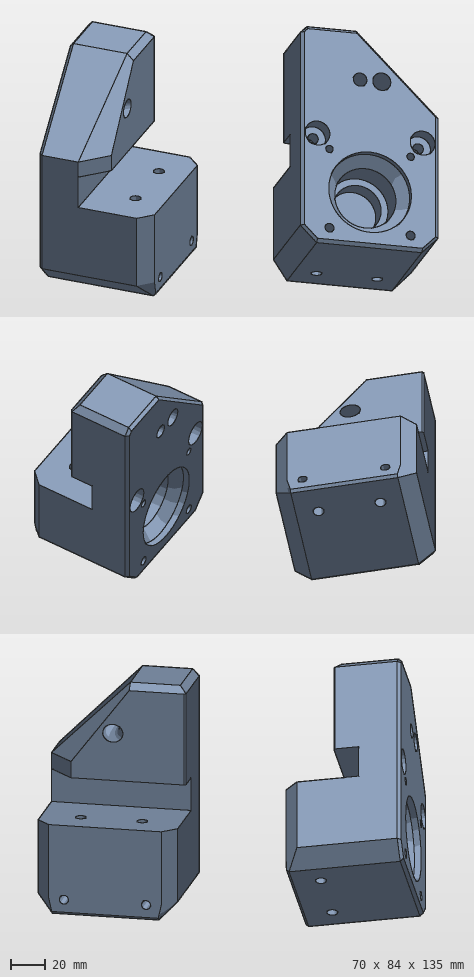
import cadquery as cq
import math

depth = 70.0
width = 84.0
height = 135.0
mid_y = width / 2

head_depth = 40.0
wall_depth = 25.0
shelf_z = 55.0
head_floor_z = 75.0

bottom_cut = 10.0
slope_cut = 50.0
top_cut = 4.0

front_bevel = 2.0
head_side_bevel = 15.0
head_top_bevel = 4.0
head_far_bevel = 1.0
base_side_bevel = 8.1
base_bottom_bevel = 1.6
cutter_overrun = 0.2

bore_z = 34.0
mouth_diameter = 50.4
mouth_depth = 4.0
bore_diameter = 37.3
bore_depth = 28.5
bore_end_diameter = 29.0
bore_end_depth = 40.5
cone_end_depth = mouth_depth + (mouth_diameter - bore_diameter) / 2

pattern_half = 24.7
through_diameter = 5.4
blind_diameter = 4.5
blind_depth = 14.8

screw_inset = 10.0
screw_z = 68.0
counterbore_diameter = 15.0
counterbore_depth = 10.0
screw_diameter = 6.3
screw_depth = 20.2

head_hole_z = 104.1
pin_y = 48.0
pin_diameter = 8.2
pin_depth = 20.2
curved_y = 34.8
curved_diameter = 11.0
curved_shift = 5.3
straight_run = 16.2
bend_overrun = 1.3

shelf_hole_x = 51.8
shelf_hole_half_spacing = 18.5
shelf_hole_diameter = 6.3


def cylinder_x(diameter, length, y, z):
    """Cylinder along +X whose first end is centred at (0, y, z)."""
    return cq.Workplane(
        cq.Solid.makeCylinder(diameter / 2, length, cq.Vector(0, y, z), cq.Vector(1, 0, 0))
    )


def ruled_wedge(first, second):
    """Solid between two triangles, joined point to point by straight rulings."""
    faces = [cq.Face.makeFromWires(cq.Wire.makePolygon(points, close=True)) for points in (first, second)]
    for i in range(3):
        first_edge = cq.Edge.makeLine(first[i - 1], first[i])
        second_edge = cq.Edge.makeLine(second[i - 1], second[i])
        faces.append(cq.Face.makeRuledSurface(first_edge, second_edge))
    return cq.Workplane(cq.Solid.makeSolid(cq.Shell.makeShell(faces)).fix())


def bevel(body, face_x, inward, stations):
    """Bevel the rim of the face at face_x; inward is the X direction into the body.

    Each station is (rim corner, point left on the face, bevel depth along X).
    Between two stations the bevel is a ruled surface, so its size can change.
    Every cutter section is stretched past the rim so that it clears the body.
    """
    sections = []
    for corner, face_point, bevel_depth in stations:
        on_face = cq.Vector(face_x, *face_point)
        on_side = cq.Vector(face_x + inward * bevel_depth, *corner)
        overrun = (on_face - on_side) * cutter_overrun
        face_end = on_face + overrun
        side_end = on_side - overrun
        outer = cq.Vector(face_end.x, side_end.y, side_end.z)
        sections.append([outer, face_end, side_end])
    for first, second in zip(sections, sections[1:]):
        body = body.cut(ruled_wedge(first, second))
    return body


outline = [
    (bottom_cut, 0),
    (width - bottom_cut, 0),
    (width, bottom_cut),
    (width, height - top_cut),
    (width - top_cut, height),
    (slope_cut, height),
    (0, height - slope_cut),
    (0, bottom_cut),
]
body = cq.Workplane("YZ").polyline(outline).close().extrude(depth)

behind_head = cq.Workplane().box(depth, width, height, centered=False).translate((head_depth, 0, shelf_z))
slot = cq.Workplane().box(depth, width, head_floor_z - shelf_z, centered=False)
body = body.cut(behind_head).cut(slot.translate((wall_depth, 0, shelf_z)))

front_face = [
    (bottom_cut, front_bevel),
    (width - bottom_cut, front_bevel),
    (width - front_bevel, bottom_cut),
    (width - front_bevel, height - top_cut),
    (width - top_cut, height - front_bevel),
    (slope_cut, height - front_bevel),
    (front_bevel, height - slope_cut),
    (front_bevel, bottom_cut),
]
front_stations = [(rim, inner, front_bevel) for rim, inner in zip(outline, front_face)]
body = bevel(body, 0, 1, front_stations + front_stations[:1])

head_top = height - head_top_bevel
slope_foot = height - slope_cut
head_stations = [
    ((0, head_floor_z), (head_side_bevel, head_floor_z), head_side_bevel),
    ((0, slope_foot), (head_side_bevel, slope_foot), head_side_bevel),
    ((slope_cut, height), (slope_cut, head_top), head_top_bevel),
    ((width - top_cut, height), (width - top_cut, head_top), head_top_bevel),
    ((width, height - top_cut), (width - head_far_bevel, height - top_cut), head_far_bevel),
    ((width, head_floor_z), (width - head_far_bevel, head_floor_z), head_far_bevel),
]
body = bevel(body, head_depth, -1, head_stations)

base_stations = [
    ((0, shelf_z), (base_side_bevel, shelf_z), base_side_bevel),
    ((0, bottom_cut), (base_side_bevel, bottom_cut), base_side_bevel),
    ((bottom_cut, 0), (bottom_cut, base_bottom_bevel), base_bottom_bevel),
    ((width - bottom_cut, 0), (width - bottom_cut, base_bottom_bevel), base_bottom_bevel),
    ((width, bottom_cut), (width - base_side_bevel, bottom_cut), base_side_bevel),
    ((width, shelf_z), (width - base_side_bevel, shelf_z), base_side_bevel),
]
body = bevel(body, depth, -1, base_stations)

bore_profile = [
    (0, 0),
    (0, mouth_diameter / 2),
    (mouth_depth, mouth_diameter / 2),
    (cone_end_depth, bore_diameter / 2),
    (bore_depth, bore_diameter / 2),
    (bore_depth, bore_end_diameter / 2),
    (bore_end_depth, bore_end_diameter / 2),
    (bore_end_depth, 0),
]
bore = cq.Workplane("XY").polyline(bore_profile).close().revolve(360, (0, 0, 0), (1, 0, 0))
body = body.cut(bore.translate((0, mid_y, bore_z)))

for side in (-1, 1):
    pattern_y = mid_y + side * pattern_half
    body = body.cut(cylinder_x(through_diameter, depth, pattern_y, bore_z - pattern_half))
    body = body.cut(cylinder_x(blind_diameter, blind_depth, pattern_y, bore_z + pattern_half))

    screw_y = mid_y + side * (mid_y - screw_inset)
    body = body.cut(cylinder_x(counterbore_diameter, counterbore_depth, screw_y, screw_z))
    body = body.cut(cylinder_x(screw_diameter, screw_depth, screw_y, screw_z))

    shelf_hole = cq.Workplane().circle(shelf_hole_diameter / 2).extrude(shelf_z)
    body = body.cut(shelf_hole.translate((shelf_hole_x, mid_y + side * shelf_hole_half_spacing, 0)))

body = body.cut(cylinder_x(pin_diameter, pin_depth, pin_y, head_hole_z))

bend_run = head_depth - straight_run
bend_radius = (bend_run**2 + curved_shift**2) / (2 * curved_shift)
bend_angle = math.degrees(math.asin(bend_run / bend_radius))
bend = (
    cq.Workplane("YZ", origin=(straight_run, curved_y, head_hole_z))
    .circle(curved_diameter / 2)
    .revolve(bend_angle * bend_overrun, (bend_radius, 0, 0), (bend_radius, 1, 0))
)
body = body.cut(cylinder_x(curved_diameter, straight_run, curved_y, head_hole_z)).cut(bend)

result = body